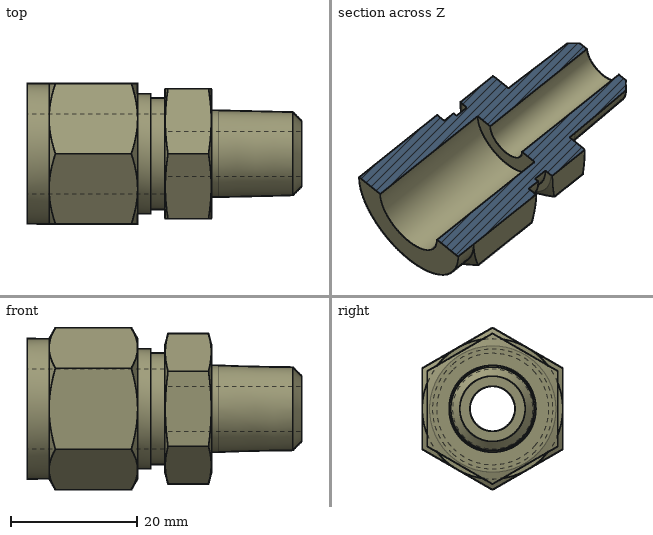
import cadquery as cq
import math

total_length = 43.45

nut_flats = 22.25
nut_collar_length = 3.47
nut_hex_length = 14.0
nut_chamfer_angle = 30.0

shoulder_diameter = 19.02
shoulder_length = 2.1
neck_diameter = 17.68
neck_length = 2.2

body_flats = 20.65
body_hex_length = 7.43
body_face_diameter = 19.98
body_chamfer_angle = 15.0

pipe_diameter = 13.75
pipe_relief_length = 1.05
pipe_tip_diameter = 13.2
pipe_tip_chamfer = 1.45

tube_bore_diameter = 12.7
through_bore_diameter = 7.1

nut_hex_start = nut_collar_length
shoulder_start = nut_hex_start + nut_hex_length
neck_start = shoulder_start + shoulder_length
body_hex_start = neck_start + neck_length
pipe_start = body_hex_start + body_hex_length
taper_start = pipe_start + pipe_relief_length
taper_end = total_length - pipe_tip_chamfer
tube_bore_depth = body_hex_start


def cylinder(start, length, diameter):
    """Solid cylinder along X."""
    return cq.Workplane("YZ", origin=(start, 0, 0)).circle(diameter / 2).extrude(length)


def revolve_about_axis(outline):
    """Revolve a closed (x, radius) outline about the X axis."""
    return cq.Workplane("XY").polyline(outline).close().revolve(360, (0, 0, 0), (1, 0, 0))


def chamfered_hexagon(start, length, flats, face_diameter, chamfer_angle):
    """Hexagon with corners on +Z and -Z, both ends turned conically down to a round face."""
    face_radius = face_diameter / 2
    corner_radius = flats / 2 / math.cos(math.radians(30))
    chamfer_length = (corner_radius - face_radius) * math.tan(math.radians(chamfer_angle))
    end = start + length
    prism = (
        cq.Workplane("YZ", origin=(start, 0, 0))
        .transformed(rotate=(0, 0, 90))
        .polygon(6, 2 * corner_radius)
        .extrude(length)
    )
    turned_envelope = revolve_about_axis([
        (start, 0),
        (start, face_radius),
        (start + chamfer_length, corner_radius),
        (end - chamfer_length, corner_radius),
        (end, face_radius),
        (end, 0),
    ])
    return prism.intersect(turned_envelope)


def pipe_end():
    """Short straight relief, a slight taper and a 45 degree chamfer at the tip."""
    tip_radius = pipe_tip_diameter / 2
    return revolve_about_axis([
        (pipe_start, 0),
        (pipe_start, pipe_diameter / 2),
        (taper_start, pipe_diameter / 2),
        (taper_end, tip_radius),
        (total_length, tip_radius - pipe_tip_chamfer),
        (total_length, 0),
    ])


nut_collar = cylinder(0, nut_collar_length, nut_flats)
nut_hexagon = chamfered_hexagon(
    nut_hex_start, nut_hex_length, nut_flats, nut_flats, nut_chamfer_angle
)
shoulder = cylinder(shoulder_start, shoulder_length, shoulder_diameter)
neck = cylinder(neck_start, neck_length, neck_diameter)
body_hexagon = chamfered_hexagon(
    body_hex_start, body_hex_length, body_flats, body_face_diameter, body_chamfer_angle
)

tube_bore = cylinder(0, tube_bore_depth, tube_bore_diameter)
through_bore = cylinder(0, total_length, through_bore_diameter)

result = (
    nut_collar
    .union(nut_hexagon)
    .union(shoulder)
    .union(neck)
    .union(body_hexagon)
    .union(pipe_end())
    .cut(tube_bore)
    .cut(through_bore)
)